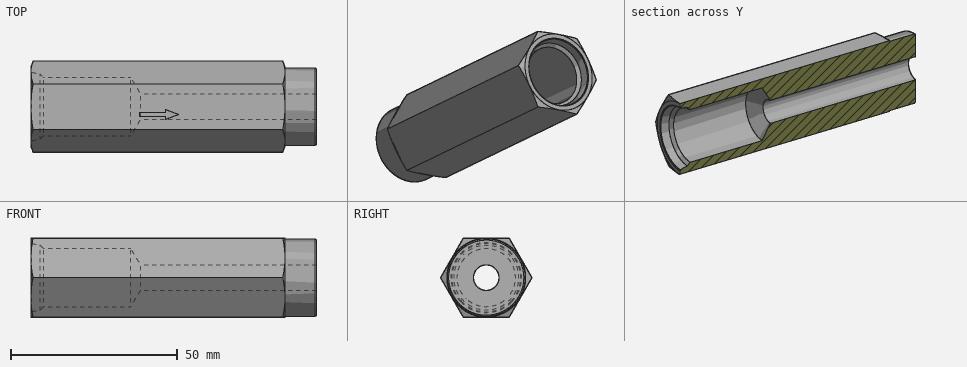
import cadquery as cq
import math

total_length = 85.85
across_corners = 27.51
across_flats = across_corners * math.cos(math.pi / 6)
spigot_length = 9.5
hex_length = total_length - spigot_length
spigot_diameter = 23.37
spigot_chamfer_length = 0.45
spigot_chamfer_depth = 0.4

bevel_diameter = 23.7
bevel_angle = math.radians(20)

entry_diameter = 21.1
seat_mouth_diameter = 20.6
bore_diameter = 17.5
through_diameter = 7.6
seat_end_diameter = 19.5
entry_chamfer_length = 0.22
seat_half_angle = math.radians(12)
bore_depth = 30.0
cone_half_angle = math.radians(59)

arrow_tail_x = 32.6
arrow_neck_x = 40.4
arrow_tip_x = 44.4
arrow_center_y = -2.35
arrow_shaft_width = 1.3
arrow_head_width = 3.0
arrow_depth = 0.1


def revolve_about_x(profile):
    """Revolve a closed list of (x, radius) points about the X axis."""
    return cq.Workplane("XY").polyline(profile).close().revolve(360, (0, 0), (1, 0))


def hexagon_body():
    prism = cq.Workplane("YZ").polygon(6, across_corners).extrude(hex_length)
    bevel_radius = bevel_diameter / 2
    corner_radius = across_corners / 2
    bevel_length = (corner_radius - bevel_radius) * math.tan(bevel_angle)
    envelope = revolve_about_x([
        (0, 0),
        (0, bevel_radius),
        (bevel_length, corner_radius),
        (hex_length - bevel_length, corner_radius),
        (hex_length, bevel_radius),
        (hex_length, 0),
    ])
    return prism.intersect(envelope)


def spigot():
    radius = spigot_diameter / 2
    return revolve_about_x([
        (hex_length, 0),
        (hex_length, radius),
        (total_length - spigot_chamfer_length, radius),
        (total_length, radius - spigot_chamfer_depth),
        (total_length, 0),
    ])


def stepped_bore():
    seat_length = (seat_mouth_diameter - seat_end_diameter) / 2 / math.tan(seat_half_angle)
    seat_end = entry_chamfer_length + seat_length
    bore_start = seat_end + (seat_end_diameter - bore_diameter) / 2
    cone_length = (bore_diameter - through_diameter) / 2 / math.tan(cone_half_angle)
    return revolve_about_x([
        (0, 0),
        (0, entry_diameter / 2),
        (entry_chamfer_length, seat_mouth_diameter / 2),
        (seat_end, seat_end_diameter / 2),
        (bore_start, bore_diameter / 2),
        (bore_depth, bore_diameter / 2),
        (bore_depth + cone_length, through_diameter / 2),
        (total_length, through_diameter / 2),
        (total_length, 0),
    ])


def flow_arrow():
    half_shaft = arrow_shaft_width / 2
    half_head = arrow_head_width / 2
    return (
        cq.Workplane("XY", origin=(0, arrow_center_y, across_flats / 2))
        .moveTo(arrow_tail_x, -half_shaft)
        .lineTo(arrow_neck_x, -half_shaft)
        .lineTo(arrow_neck_x, -half_head)
        .lineTo(arrow_tip_x, 0)
        .lineTo(arrow_neck_x, half_head)
        .lineTo(arrow_neck_x, half_shaft)
        .lineTo(arrow_tail_x, half_shaft)
        .close()
        .extrude(-arrow_depth)
    )


result = hexagon_body().union(spigot()).cut(stepped_bore()).cut(flow_arrow())